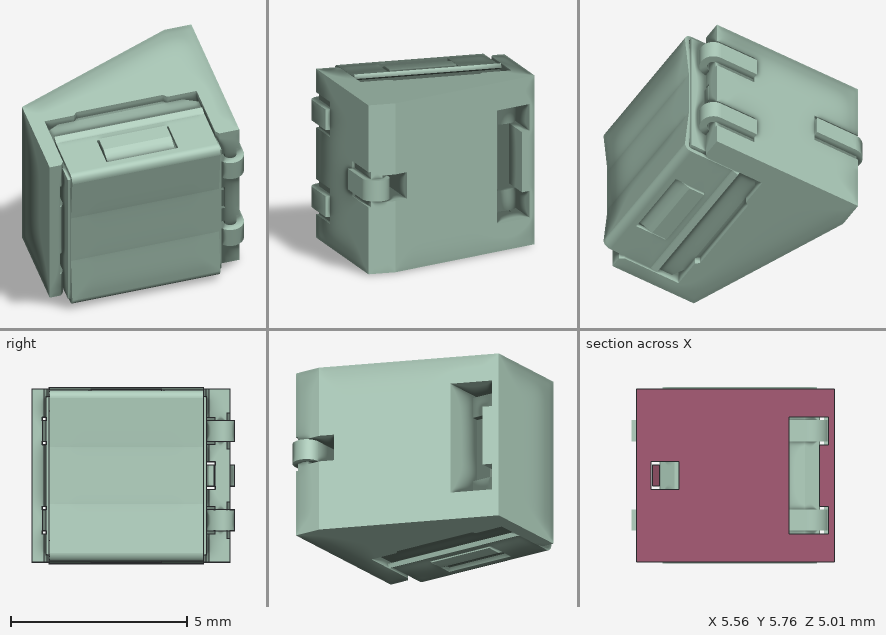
import cadquery as cq
import math


diagonal = math.sqrt(0.5)

housing_length = 4.71
housing_width = 5.63
half_height = 2.465
slope_start_x = 2.0
slope_end_y = 4.82
arm_tip_chamfer_x = 0.125
arm_tip_chamfer_y = 0.09

cavity_x = 2.775
cavity_low_y = 0.43
cavity_high_y = 4.94
flange_step = 0.025
arm_chamfer_start_x = housing_length - arm_tip_chamfer_x
flange_x = arm_chamfer_start_x + flange_step * arm_tip_chamfer_x / arm_tip_chamfer_y
core_front_x = 5.15
core_half_height = 2.245
core_chamfer_x = 0.22
core_chamfer_y = 0.405
tongue_depth = 0.115
tongue_low_y = 1.31
tongue_high_y = 4.08
tongue_chamfer = 0.105
tongue_half_height = 2.225

lead_thickness = 0.215
lead_width = 0.605
lead_offset = 1.27
hook_radius = 0.4
pad_side_y = 5.76
hook_y = pad_side_y - hook_radius
hook_back_x = 0.155
hook_front_x = housing_length - 0.045
back_pad_end_x = 1.445
front_pad_end_x = 3.455
lead_slot_y = hook_y - hook_radius
corner_radius = 0.59
corner_tail_x = 3.455

slot_width = 0.78
slot_depth_y = 5.2
back_notch_y = 4.425
pad_recess_width = 1.025
pad_recess_y = pad_side_y - lead_thickness
window_high_y = 1.29
window_low_y = 0.18
groove_y = 0.3

clip_low_y = 0.49
clip_high_y = 4.88
clip_half_height = 2.425
clip_thickness = 0.13
clip_front_x = 5.315
clip_bend = 0.225
clip_waist_x = 5.185
clip_waist_half_height = 0.805
lip_root_x = 3.74
lip_run = 0.195
lip_rise = 0.08

opening_back_x = 3.945
opening_front_x = 4.925
opening_low_y = 1.625
opening_high_y = 3.75
tab_end_gap = 0.065
tab_fold_x = 4.425
tab_rise = 0.04


def box(x0, x1, y0, y1, z0, z1):
    return cq.Workplane("XY").box(x1 - x0, y1 - y0, z1 - z0, centered=False).translate((x0, y0, z0))


def tall_box(x0, x1, y0, y1, height, mid_z=0.0):
    return box(x0, x1, y0, y1, mid_z - height / 2, mid_z + height / 2)


def prism(points, height):
    """Extrude an XY outline by height, evenly about Z = 0."""
    return cq.Workplane("XY").polyline(points).close().extrude(height / 2, both=True)


def below_and_above(shape):
    return shape.union(shape.mirror("XY"))


def side_prism(profile, low_y, high_y):
    """Extrude a closed XZ profile from low_y to high_y."""
    return profile.extrude(low_y - high_y).translate((0, low_y, 0))



def arm_hook(center_x, direction, pad_end_x, tail_end_x, mid_z):
    """J-shaped lead: pad outside the arm, half-round bend, tail inside the arm."""
    inner_radius = hook_radius - lead_thickness
    top_in = hook_y + inner_radius
    bottom_in = hook_y - inner_radius
    profile = (
        cq.Workplane("XY")
        .moveTo(pad_end_x, pad_side_y)
        .lineTo(center_x, pad_side_y)
        .threePointArc((center_x + direction * hook_radius, hook_y), (center_x, lead_slot_y))
        .lineTo(tail_end_x, lead_slot_y)
        .lineTo(tail_end_x, bottom_in)
        .lineTo(center_x, bottom_in)
        .threePointArc((center_x + direction * inner_radius, hook_y), (center_x, top_in))
        .lineTo(pad_end_x, top_in)
        .close()
    )
    return profile.extrude(lead_width / 2, both=True).translate((0, 0, mid_z))


def corner_lead(mid_z):
    """Lead bent around the insert's lower back corner."""
    outer_x = cavity_x - lead_thickness
    outer_y = cavity_low_y - flange_step - lead_thickness
    inner_y = outer_y + lead_thickness
    center_x = outer_x + corner_radius
    center_y = outer_y + corner_radius
    inner_radius = corner_radius - lead_thickness
    outer_mid = (center_x - corner_radius * diagonal, center_y - corner_radius * diagonal)
    inner_mid = (center_x - inner_radius * diagonal, center_y - inner_radius * diagonal)
    profile = (
        cq.Workplane("XY")
        .moveTo(outer_x, window_high_y)
        .lineTo(outer_x, center_y)
        .threePointArc(outer_mid, (center_x, outer_y))
        .lineTo(corner_tail_x, outer_y)
        .lineTo(corner_tail_x, inner_y)
        .lineTo(center_x, inner_y)
        .threePointArc(inner_mid, (cavity_x, center_y))
        .lineTo(cavity_x, window_high_y)
        .close()
    )
    return profile.extrude(lead_width / 2, both=True).translate((0, 0, mid_z))


def make_leads():
    leads = [arm_hook(hook_back_x, -1, back_pad_end_x, housing_length, 0)]
    for mid_z in (-lead_offset, lead_offset):
        leads.append(arm_hook(hook_front_x, 1, front_pad_end_x, front_pad_end_x, mid_z))
        leads.append(corner_lead(mid_z))
    return leads



def tongue_prism(height):
    back_x = cavity_x - tongue_depth
    return prism(
        [
            (cavity_x, tongue_low_y),
            (back_x, tongue_low_y + tongue_chamfer),
            (back_x, tongue_high_y - tongue_chamfer),
            (cavity_x, tongue_high_y),
        ],
        height,
    )


def make_core():
    """Block with chamfered back corners, a tongue behind and a wider front flange."""
    block = prism(
        [
            (cavity_x, cavity_low_y + core_chamfer_y),
            (cavity_x + core_chamfer_x, cavity_low_y),
            (core_front_x, cavity_low_y),
            (core_front_x, cavity_high_y),
            (cavity_x + core_chamfer_x, cavity_high_y),
            (cavity_x, cavity_high_y - core_chamfer_y),
        ],
        2 * core_half_height,
    )
    flange = tall_box(
        flange_x, core_front_x, cavity_low_y - flange_step, cavity_high_y + flange_step, 2 * core_half_height
    )
    return block.union(flange).union(tongue_prism(2 * tongue_half_height))


def clip_half():
    """Upper half of the clip: raised lip, flat plate, rounded bend and bowed front."""
    lip_angle = math.atan2(lip_rise, lip_run)
    lip_tip = (lip_root_x - lip_run, clip_half_height + lip_rise)
    lip_under = (
        lip_tip[0] - clip_thickness * math.sin(lip_angle),
        lip_tip[1] - clip_thickness * math.cos(lip_angle),
    )
    under_root_x = lip_root_x - clip_thickness * math.tan(lip_angle / 2)
    plate_under = clip_half_height - clip_thickness
    bend_x = clip_front_x - clip_bend
    bend_z = clip_half_height - clip_bend
    inner_bend = clip_bend - clip_thickness
    profile = (
        cq.Workplane("XZ")
        .moveTo(*lip_tip)
        .lineTo(lip_root_x, clip_half_height)
        .lineTo(bend_x, clip_half_height)
        .threePointArc(
            (bend_x + clip_bend * diagonal, bend_z + clip_bend * diagonal), (clip_front_x, bend_z)
        )
        .lineTo(clip_waist_x, clip_waist_half_height)
        .lineTo(clip_waist_x, 0)
        .lineTo(clip_waist_x - clip_thickness, 0)
        .lineTo(clip_waist_x - clip_thickness, clip_waist_half_height)
        .lineTo(clip_front_x - clip_thickness, bend_z)
        .threePointArc(
            (bend_x + inner_bend * diagonal, bend_z + inner_bend * diagonal), (bend_x, plate_under)
        )
        .lineTo(under_root_x, plate_under)
        .lineTo(*lip_under)
        .close()
    )
    opening = box(
        opening_back_x, opening_front_x, opening_low_y, opening_high_y, core_half_height, clip_half_height
    )
    return side_prism(profile, clip_low_y, clip_high_y).cut(opening)


def clip_tab():
    """Tab in the clip opening, raised and flat behind its fold, sloping down to the core in front."""
    top_z = clip_half_height + tab_rise
    profile = (
        cq.Workplane("XZ")
        .moveTo(opening_back_x, core_half_height)
        .lineTo(opening_back_x, top_z)
        .lineTo(tab_fold_x, top_z)
        .lineTo(opening_front_x, core_half_height)
        .close()
    )
    return side_prism(profile, opening_low_y + tab_end_gap, opening_high_y - tab_end_gap)


def make_insert(leads):
    insert = make_core()
    insert = insert.union(below_and_above(clip_half()))
    insert = insert.union(below_and_above(clip_tab()))
    for lead in leads:
        insert = insert.union(lead)
    return insert



def housing_blank():
    """Wedge-backed block with two arms around the cavity."""
    full_height = 2 * half_height
    blank = prism(
        [
            (slope_start_x, 0),
            (housing_length, 0),
            (housing_length, cavity_low_y - arm_tip_chamfer_y),
            (arm_chamfer_start_x, cavity_low_y),
            (cavity_x, cavity_low_y),
            (cavity_x, cavity_high_y),
            (arm_chamfer_start_x, cavity_high_y),
            (housing_length, cavity_high_y + arm_tip_chamfer_y),
            (housing_length, housing_width),
            (0, housing_width),
            (0, slope_end_y),
        ],
        full_height,
    )
    return blank.cut(tongue_prism(full_height))


def cut_arm_openings(housing):
    """Slots for the lead tails and shallow recesses under the pads in the upper arm."""
    housing = housing.cut(tall_box(0, cavity_x, back_notch_y, slot_depth_y, slot_width))
    housing = housing.cut(tall_box(0, housing_length, cavity_high_y, slot_depth_y, slot_width))
    housing = housing.cut(tall_box(0, back_pad_end_x, pad_recess_y, housing_width, pad_recess_width))
    for mid_z in (-lead_offset, lead_offset):
        tail_slot = tall_box(front_pad_end_x, housing_length, cavity_high_y, slot_depth_y, slot_width, mid_z)
        pad_recess = tall_box(
            front_pad_end_x, housing_length, pad_recess_y, housing_width, pad_recess_width, mid_z
        )
        housing = housing.cut(tail_slot).cut(pad_recess)
    return housing


def cut_window(housing):
    """Opening through the sloped back, with two grooves running along the lower arm."""
    window_height = 2 * lead_offset + slot_width
    housing = housing.cut(tall_box(0, cavity_x, cavity_low_y, window_high_y, window_height))
    for mid_z in (-lead_offset, lead_offset):
        deep_groove = tall_box(0, corner_tail_x, window_low_y, cavity_low_y, slot_width, mid_z)
        shallow_groove = tall_box(corner_tail_x, housing_length, groove_y, cavity_low_y, slot_width, mid_z)
        housing = housing.cut(deep_groove).cut(shallow_groove)
    return housing


def make_housing(leads):
    housing = housing_blank()
    housing = cut_arm_openings(housing)
    housing = cut_window(housing)
    for lead in leads:
        housing = housing.cut(lead)
    return housing


lead_shapes = make_leads()
insert = make_insert(lead_shapes)
housing = make_housing(lead_shapes)
result = cq.Compound.makeCompound([housing.solids().val(), insert.solids().val()])